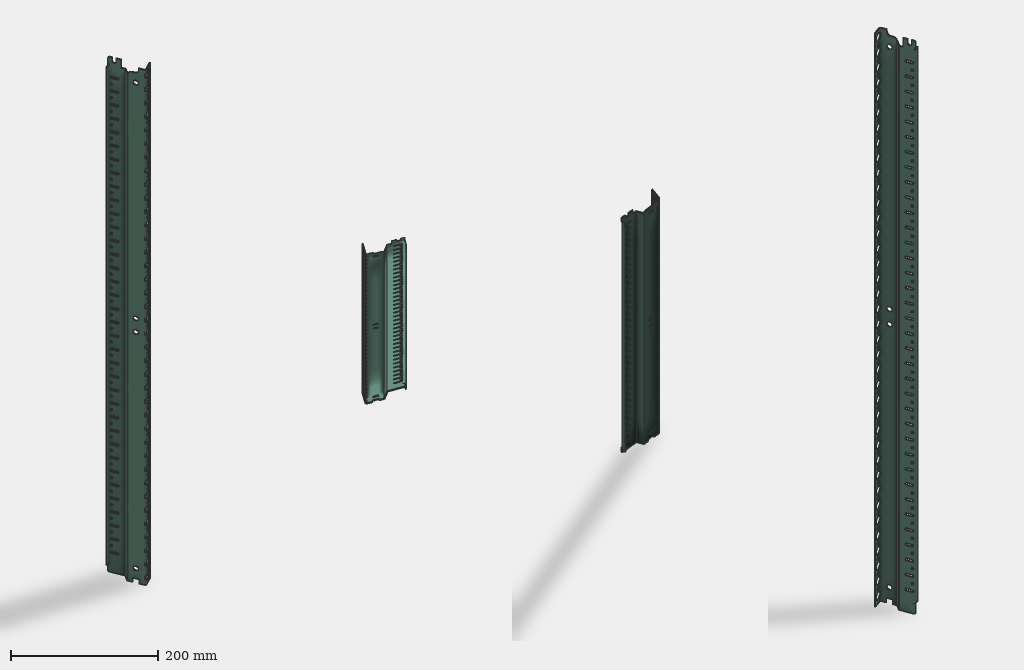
import cadquery as cq
import math

LENGTH = 948.5
WIDTH = 59.0
DEPTH = 17.0
LEFT = -WIDTH / 2
RIGHT = WIDTH / 2
FRONT = -DEPTH / 2
BACK = DEPTH / 2
TOP = LENGTH / 2
BOTTOM = -LENGTH / 2

SHEET = 1.7
INNER_BEND = 1.0
OUTER_BEND = INNER_BEND + SHEET
STEP_DEPTH = 9.0
STEP_WIDTH = 7.0
WEB_WIDTH = 25.0
LIP_DEPTH = 9.0
WEB_FRONT = FRONT + STEP_DEPTH
WEB_BACK = WEB_FRONT + SHEET
LIP_FRONT = WEB_BACK - LIP_DEPTH
PLATE_BACK = FRONT + SHEET
STEP_START = LEFT + WEB_WIDTH
STEP_END = STEP_START + STEP_WIDTH
STEP_SHIFT = SHEET * math.tan(math.atan2(STEP_DEPTH, STEP_WIDTH) / 2)

LIP_TOP_GAP = 14.0
LIP_BOTTOM_GAP = 18.0
WEB_CORNER = 3.0

TAB_WIDTH = 19.0
RECESS_DEPTH = 15.0
LEDGE_DEPTH = 9.5
LEDGE_START = LEFT + 32.0
LEDGE_END = LEFT + 47.0
LEDGE_RADIUS = RECESS_DEPTH - LEDGE_DEPTH
TAB_SLOT_X = LEFT + 9.0
TAB_SLOT_WIDTH = 6.0
TAB_SLOT_DEPTH = 9.5

PITCH_COUNT = 35
PITCH_SPAN = 874.5
PITCH = PITCH_SPAN / PITCH_COUNT
WEB_SLOT_COUNT = PITCH_COUNT + 1
FLANGE_HOLE_COUNT = WEB_SLOT_COUNT + 2

WEB_HOLE_DIAMETER = 3.6
WEB_HOLE_X = LEFT + 5.0
WEB_SLOT_TRAVEL = 9.1

LARGE_HOLE_DIAMETER = 13.0
SMALL_HOLE_DIAMETER = 7.0
FLANGE_HOLE_Y = -1.0

PLATE_X = LEFT + 44.0
PLATE_HOLE_DIAMETER = 8.1
TOP_HOLE_INSET = 27.5
BOTTOM_HOLE_INSET = 27.0
PLATE_HOLE_HEIGHTS = [TOP - TOP_HOLE_INSET, PITCH / 2, -PITCH / 2, BOTTOM + BOTTOM_HOLE_INSET]
PLATE_NOTCH_WIDTH = 9.5
PLATE_NOTCH_DEPTH = 8.0


def row_heights(count):
    """Heights of a row of openings, one pitch apart and centred on the rail."""
    return [(i - (count - 1) / 2) * PITCH for i in range(count)]


def front_sketch():
    """Sketch plane with local x along X and local y along Z."""
    return cq.Workplane("XZ")


def through_cut(sketch):
    """Turn a front sketch into a cutter reaching through the rail on both sides of the XZ plane."""
    return sketch.extrude(DEPTH, both=True)


def bent_sheet():
    outline = [
        (LEFT, LIP_FRONT),
        (LEFT + SHEET, LIP_FRONT),
        (LEFT + SHEET, WEB_FRONT),
        (STEP_START, WEB_FRONT),
        (STEP_END, FRONT),
        (RIGHT, FRONT),
        (RIGHT, BACK),
        (RIGHT - SHEET, BACK),
        (RIGHT - SHEET, PLATE_BACK),
        (STEP_END + STEP_SHIFT, PLATE_BACK),
        (STEP_START + STEP_SHIFT, WEB_BACK),
        (LEFT, WEB_BACK),
    ]
    sheet = cq.Workplane("XY").workplane(offset=BOTTOM).polyline(outline).close().extrude(LENGTH)
    bends = [
        (LEFT + SHEET, WEB_FRONT, INNER_BEND),
        (LEFT, WEB_BACK, OUTER_BEND),
        (RIGHT - SHEET, PLATE_BACK, INNER_BEND),
        (RIGHT, FRONT, OUTER_BEND),
    ]
    for x, y, radius in bends:
        sheet = sheet.edges(cq.NearestToPointSelector((x, y, 0))).fillet(radius)
    return sheet


def bend_block(end, height, front, back):
    """Block covering the lip bend from one end of the rail over the given height."""
    z = min(end, end - math.copysign(height, end))
    block = cq.Workplane("XY").box(OUTER_BEND, back - front, height, centered=False)
    return block.translate((LEFT, front, z))


def top_recess():
    floor = TOP - RECESS_DEPTH
    ledge = TOP - LEDGE_DEPTH
    tab_edge = LEFT + TAB_WIDTH
    return through_cut(
        front_sketch()
        .moveTo(tab_edge, TOP)
        .lineTo(tab_edge, floor)
        .lineTo(LEDGE_START, floor)
        .radiusArc((LEDGE_START + LEDGE_RADIUS, ledge), LEDGE_RADIUS)
        .lineTo(LEDGE_END - LEDGE_RADIUS, ledge)
        .radiusArc((LEDGE_END, ledge + LEDGE_RADIUS), -LEDGE_RADIUS)
        .lineTo(LEDGE_END, TOP)
        .close()
    )


def tab_slot():
    return through_cut(
        front_sketch()
        .center(TAB_SLOT_X, TOP)
        .slot2D(2 * TAB_SLOT_DEPTH, TAB_SLOT_WIDTH, 90)
    )


def plate_notch():
    return through_cut(
        front_sketch()
        .center(PLATE_X, BOTTOM)
        .rect(PLATE_NOTCH_WIDTH, 2 * PLATE_NOTCH_DEPTH)
    )


def plate_holes():
    centres = [(PLATE_X, z) for z in PLATE_HOLE_HEIGHTS]
    return through_cut(front_sketch().pushPoints(centres).circle(PLATE_HOLE_DIAMETER / 2))


def web_slots():
    centres = [(WEB_HOLE_X + WEB_SLOT_TRAVEL / 2, z) for z in row_heights(WEB_SLOT_COUNT)]
    slot_length = WEB_SLOT_TRAVEL + WEB_HOLE_DIAMETER
    return through_cut(front_sketch().pushPoints(centres).slot2D(slot_length, WEB_HOLE_DIAMETER))


def web_holes():
    centres = [(WEB_HOLE_X, z) for z in row_heights(WEB_SLOT_COUNT - 1)]
    return through_cut(front_sketch().pushPoints(centres).circle(WEB_HOLE_DIAMETER / 2))


def flange_holes(count, diameter):
    """Round holes through the flange, along X."""
    centres = [(FLANGE_HOLE_Y, z) for z in row_heights(count)]
    return (
        cq.Workplane("YZ")
        .workplane(offset=RIGHT - OUTER_BEND)
        .pushPoints(centres)
        .circle(diameter / 2)
        .extrude(2 * OUTER_BEND)
    )


result = bent_sheet()
for end, gap in ((TOP, LIP_TOP_GAP), (BOTTOM, LIP_BOTTOM_GAP)):
    result = result.cut(bend_block(end, gap, FRONT, WEB_FRONT))
    result = result.union(bend_block(end, gap, WEB_FRONT, WEB_BACK))
    web_corner = cq.NearestToPointSelector((LEFT, (WEB_FRONT + WEB_BACK) / 2, end))
    result = result.edges("|Y").edges(web_corner).fillet(WEB_CORNER)
for cutter in (
    top_recess(),
    tab_slot(),
    plate_notch(),
    plate_holes(),
    web_slots(),
    web_holes(),
    flange_holes(FLANGE_HOLE_COUNT, LARGE_HOLE_DIAMETER),
    flange_holes(FLANGE_HOLE_COUNT - 1, SMALL_HOLE_DIAMETER),
):
    result = result.cut(cutter)